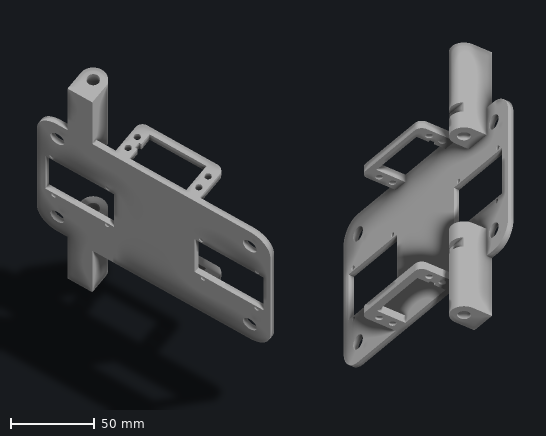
import cadquery as cq

plate_width = 170.0
plate_height = 110.2
plate_thickness = 4.0
corner_radius = 14.9
corner_hole_diameter = 10.0

window_width = 50.0
window_top = 15.7
window_bottom = -18.0
window_centers_x = (-53.9, 54.9)
screw_hole_diameter = 3.1
screw_hole_places = ((-20.4, 18.5), (20.4, 17.8), (-19.0, -20.4), (20.0, -20.4))

overall_height = 196.0
post_length = 63.1
post_width = 18.0
post_center_x = -53.7
post_axis_y = 14.1
post_bore_diameter = 8.2
notch_floor_y = 19.6
notch_top = 53.5
notch_bottom = 46.8

bracket_width = 61.3
bracket_depth = 30.0
bracket_thickness = 5.5
bracket_center_x = 0.4
bracket_corner_radius = 5.0
opening_width = 41.4
upper_opening_back_y = 25.3
lower_opening_back_y = 24.7
bracket_hole_diameter = 4.5
bracket_hole_spacing_x = 51.5
bracket_holes_y = (9.8, 19.6)
cable_slot_depth = 1.8
cable_slot_width = 4.1
cable_slot_y = 14.5


def box_between(x_range, y_range, z_range):
    """Box spanning the given coordinate ranges."""
    (x0, x1), (y0, y1), (z0, z1) = x_range, y_range, z_range
    return cq.Workplane("XY").box(x1 - x0, y1 - y0, z1 - z0, centered=False).translate((x0, y0, z0))


def drill_plate(points, diameter):
    """Cylinders running along Y through the plate at the given X, Z points."""
    return cq.Workplane("XZ").pushPoints(points).circle(diameter / 2).extrude(-plate_thickness)


def make_plate():
    plate = cq.Workplane("XZ").rect(plate_width, plate_height).extrude(-plate_thickness)
    plate = plate.edges("|Y").fillet(corner_radius)
    hole_x = plate_width / 2 - corner_radius
    hole_z = plate_height / 2 - corner_radius
    corner_points = [(x, z) for x in (-hole_x, hole_x) for z in (-hole_z, hole_z)]
    plate = plate.cut(drill_plate(corner_points, corner_hole_diameter))
    for center_x in window_centers_x:
        x_range = (center_x - window_width / 2, center_x + window_width / 2)
        plate = plate.cut(box_between(x_range, (0, plate_thickness), (window_bottom, window_top)))
        screw_points = [(center_x + x, z) for x, z in screw_hole_places]
        plate = plate.cut(drill_plate(screw_points, screw_hole_diameter))
    return plate


def make_upper_post():
    left = post_center_x - post_width / 2
    right = post_center_x + post_width / 2
    round_back_y = post_axis_y + post_width / 2
    post_bottom = overall_height / 2 - post_length
    post = (
        cq.Workplane("XY", origin=(0, 0, post_bottom))
        .moveTo(left, 0)
        .lineTo(right, 0)
        .lineTo(right, post_axis_y)
        .threePointArc((post_center_x, round_back_y), (left, post_axis_y))
        .close()
        .extrude(post_length)
    )
    bore = (
        cq.Workplane("XY", origin=(post_center_x, post_axis_y, post_bottom))
        .circle(post_bore_diameter / 2)
        .extrude(post_length)
    )
    notch = box_between((left, right), (notch_floor_y, round_back_y), (notch_bottom, notch_top))
    return post.cut(bore).cut(notch)


def make_upper_bracket(opening_back_y):
    left = bracket_center_x - bracket_width / 2
    right = bracket_center_x + bracket_width / 2
    z_range = (plate_height / 2 - bracket_thickness, plate_height / 2)
    bracket = box_between((left, right), (0, bracket_depth), z_range)
    bracket = bracket.edges("|Z and >Y").fillet(bracket_corner_radius)

    opening_left = bracket_center_x - opening_width / 2
    opening_right = bracket_center_x + opening_width / 2
    opening = box_between((opening_left, opening_right), (plate_thickness, opening_back_y), z_range)
    cable_slot = box_between(
        (opening_left - cable_slot_depth, opening_left),
        (cable_slot_y - cable_slot_width / 2, cable_slot_y + cable_slot_width / 2),
        z_range,
    )
    hole_points = [
        (bracket_center_x + side * bracket_hole_spacing_x / 2, y) for side in (-1, 1) for y in bracket_holes_y
    ]
    holes = (
        cq.Workplane("XY", origin=(0, 0, z_range[0]))
        .pushPoints(hole_points)
        .circle(bracket_hole_diameter / 2)
        .extrude(bracket_thickness)
    )
    return bracket.cut(opening).cut(cable_slot).cut(holes)


upper_post = make_upper_post()
result = (
    make_plate()
    .union(upper_post)
    .union(upper_post.mirror("XY"))
    .union(make_upper_bracket(upper_opening_back_y))
    .union(make_upper_bracket(lower_opening_back_y).mirror("XY"))
)